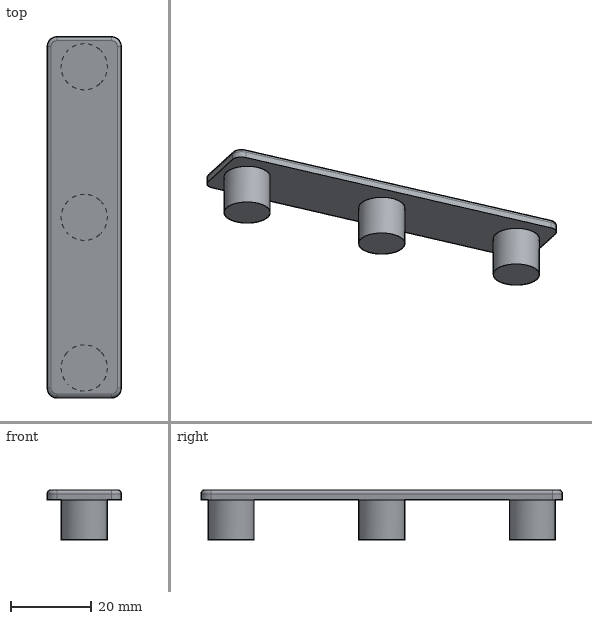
import cadquery as cq

plate_width = 18.5
plate_length = 90.0
plate_thickness = 2.5
corner_radius = 2.5
top_edge_radius = 1.0

peg_diameter = 11.5
peg_length = 10.0
peg_pitch = 37.5
peg_positions = [(0, -peg_pitch), (0, 0), (0, peg_pitch)]


def make_plate():
    """Plate with rounded corners and a rounded top rim, standing on Z = 0."""
    return (
        cq.Workplane("XY")
        .rect(plate_width, plate_length)
        .extrude(plate_thickness)
        .edges("|Z")
        .fillet(corner_radius)
        .faces(">Z")
        .edges()
        .fillet(top_edge_radius)
    )


def make_pegs():
    """Row of pegs hanging down from the plate's underside."""
    return (
        cq.Workplane("XY")
        .pushPoints(peg_positions)
        .circle(peg_diameter / 2)
        .extrude(-peg_length)
    )


result = make_plate().union(make_pegs())